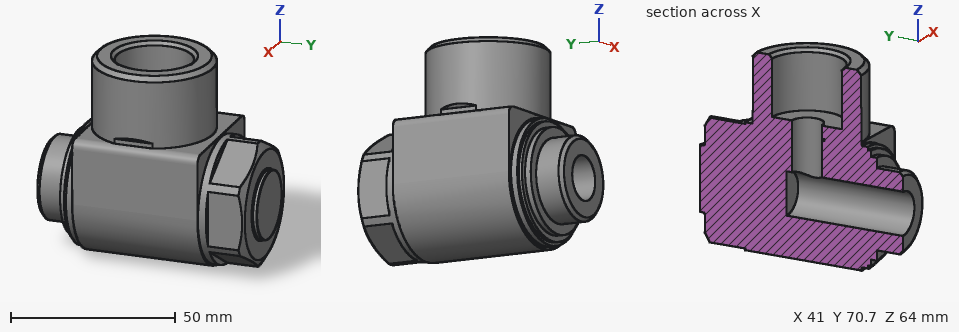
import cadquery as cq
import math


NOSE_TIP_Y = -33.45
TOTAL_LENGTH = 70.7
BUTTON_END_Y = NOSE_TIP_Y + TOTAL_LENGTH
NOSE_LENGTH = 9.05
SMALL_RING_LENGTH = 2.0
MIDDLE_RING_LENGTH = 1.05
LARGE_RING_LENGTH = 2.3
BODY_LENGTH = 40.6
FLANGE_LENGTH = 2.55
HEX_LENGTH = 11.5

BODY_WIDTH = 41.0
BODY_RADIUS = BODY_WIDTH / 2
BODY_EDGE_RADIUS = 2.7

SEAT_LIP_DIAMETER = 39.6
SEAT_LIP_LENGTH = 0.2
LARGE_RING_DIAMETER = 39.0
MIDDLE_RING_DIAMETER = 36.9
SMALL_RING_DIAMETER = 33.0
NOSE_DIAMETER = 26.45
NOSE_CHAMFER = 1.2
NOSE_BORE_DIAMETER = 14.0

FLANGE_DIAMETER = 40.0
HEX_ACROSS_FLATS = 35.9
HEX_CHAMFER_LENGTH = 1.7
HEX_CHAMFER_ANGLE = 30.0
BUTTON_DIAMETER = 21.6
BUTTON_FOOT_FLARE = 0.35
BUTTON_CHAMFER = 0.15

TOTAL_HEIGHT = 64.0
PORT_TOP_Z = TOTAL_HEIGHT - BODY_RADIUS
PORT_DIAMETER = 38.0
PORT_CHAMFER = 1.55
PORT_BORE_DIAMETER = 24.1
PORT_BORE_DEPTH = 19.8
PORT_MOUTH_DIAMETER = 26.45
PORT_HOLE_DIAMETER = 10.3
PORT_FLAT_HALF_SPACING = 17.95
PORT_FLAT_HEIGHT = 1.55

SMALL_RING_Y = NOSE_TIP_Y + NOSE_LENGTH
MIDDLE_RING_Y = SMALL_RING_Y + SMALL_RING_LENGTH
LARGE_RING_Y = MIDDLE_RING_Y + MIDDLE_RING_LENGTH
BODY_FRONT_Y = LARGE_RING_Y + LARGE_RING_LENGTH
BODY_BACK_Y = BODY_FRONT_Y + BODY_LENGTH
HEX_START_Y = BODY_BACK_Y + FLANGE_LENGTH
HEX_END_Y = HEX_START_Y + HEX_LENGTH


def along_y(start_y):
    """Workplane at start_y whose normal, and so its extrusions, point to +Y."""
    return cq.Workplane(cq.Plane(origin=(0, start_y, 0), xDir=(-1, 0, 0), normal=(0, 1, 0)))


def disc(start_y, end_y, diameter):
    """Cylinder on the body axis between two stations."""
    return along_y(start_y).circle(diameter / 2).extrude(end_y - start_y)


def make_body():
    return (
        along_y(BODY_FRONT_Y)
        .moveTo(-BODY_RADIUS, 0)
        .lineTo(-BODY_RADIUS, BODY_RADIUS)
        .lineTo(BODY_RADIUS, BODY_RADIUS)
        .lineTo(BODY_RADIUS, 0)
        .threePointArc((0, -BODY_RADIUS), (-BODY_RADIUS, 0))
        .close()
        .extrude(BODY_LENGTH)
        .edges("|Y and >Z")
        .fillet(BODY_EDGE_RADIUS)
    )


def make_front_end():
    nose = disc(NOSE_TIP_Y, BODY_FRONT_Y, NOSE_DIAMETER).faces("<Y").chamfer(NOSE_CHAMFER)
    return (
        nose
        .union(disc(SMALL_RING_Y, BODY_FRONT_Y, SMALL_RING_DIAMETER))
        .union(disc(MIDDLE_RING_Y, BODY_FRONT_Y, MIDDLE_RING_DIAMETER))
        .union(disc(LARGE_RING_Y, BODY_FRONT_Y, LARGE_RING_DIAMETER))
        .union(disc(BODY_FRONT_Y - SEAT_LIP_LENGTH, BODY_FRONT_Y, SEAT_LIP_DIAMETER))
    )


def make_head():
    """Flange, hexagon with turned corners and chamfered back, and flared end button."""
    chamfer_width = HEX_CHAMFER_LENGTH / math.tan(math.radians(HEX_CHAMFER_ANGLE))
    turned_blank = (
        disc(HEX_START_Y, HEX_END_Y, FLANGE_DIAMETER)
        .faces(">Y")
        .edges()
        .chamfer(HEX_CHAMFER_LENGTH, chamfer_width)
    )
    across_corners = HEX_ACROSS_FLATS / math.cos(math.radians(30))
    hexagon = (
        along_y(HEX_START_Y)
        .transformed(rotate=(0, 0, 90))
        .polygon(6, across_corners)
        .extrude(HEX_LENGTH)
    )
    button = disc(HEX_END_Y, BUTTON_END_Y, BUTTON_DIAMETER).faces(">Y").chamfer(BUTTON_CHAMFER)
    foot = (
        along_y(HEX_END_Y)
        .circle(BUTTON_DIAMETER / 2 + BUTTON_FOOT_FLARE)
        .extrude(BUTTON_FOOT_FLARE, taper=45)
    )
    return (
        hexagon
        .intersect(turned_blank)
        .union(disc(BODY_BACK_Y, HEX_START_Y, FLANGE_DIAMETER))
        .union(foot)
        .union(button)
    )


def make_port():
    """Upright cylinder with a flat at the foot of its -X and +X sides."""
    port = (
        cq.Workplane("XY")
        .circle(PORT_DIAMETER / 2)
        .extrude(PORT_TOP_Z)
        .faces(">Z")
        .chamfer(PORT_CHAMFER)
    )
    flat_depth = PORT_DIAMETER / 2 - PORT_FLAT_HALF_SPACING
    flat_top_z = BODY_RADIUS + PORT_FLAT_HEIGHT
    relief = (
        cq.Workplane("XZ")
        .moveTo(PORT_FLAT_HALF_SPACING, 0)
        .lineTo(PORT_FLAT_HALF_SPACING, flat_top_z)
        .lineTo(PORT_FLAT_HALF_SPACING + flat_depth, flat_top_z + flat_depth)
        .lineTo(PORT_FLAT_HALF_SPACING + flat_depth, 0)
        .close()
        .extrude(PORT_DIAMETER / 2, both=True)
    )
    return port.cut(relief).cut(relief.mirror("YZ"))


def make_passages():
    """Port bore with countersunk mouth, cross hole, and bore from the nose."""
    mouth_chamfer = (PORT_MOUTH_DIAMETER - PORT_BORE_DIAMETER) / 2
    port_bore_floor_z = PORT_TOP_Z - PORT_BORE_DEPTH
    port_bore = (
        cq.Workplane("XZ")
        .lineTo(PORT_HOLE_DIAMETER / 2, 0)
        .lineTo(PORT_HOLE_DIAMETER / 2, port_bore_floor_z)
        .lineTo(PORT_BORE_DIAMETER / 2, port_bore_floor_z)
        .lineTo(PORT_BORE_DIAMETER / 2, PORT_TOP_Z - mouth_chamfer)
        .lineTo(PORT_MOUTH_DIAMETER / 2, PORT_TOP_Z)
        .lineTo(0, PORT_TOP_Z)
        .close()
        .revolve(360, (0, 0, 0), (0, 1, 0))
    )
    nose_bore = disc(NOSE_TIP_Y, NOSE_BORE_DIAMETER / 2, NOSE_BORE_DIAMETER)
    return port_bore.union(nose_bore)


result = (
    make_body()
    .union(make_front_end())
    .union(make_head())
    .union(make_port())
    .cut(make_passages())
)